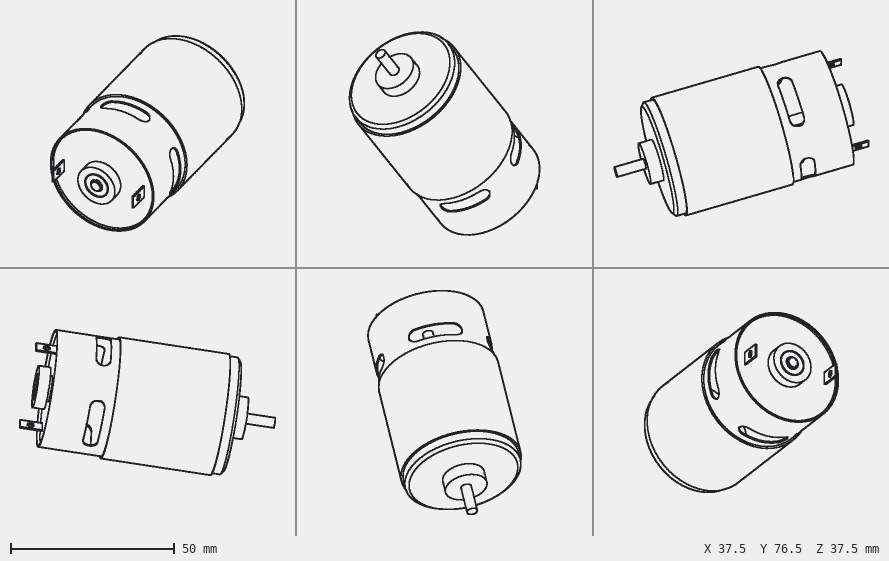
import cadquery as cq

can_radius = 18.1
can_length = 57.2
can_wall = 0.5
shoulder_inset = 1.15
shoulder_length = 0.9
bore_radius = can_radius - can_wall
drive_wall = 2.0

sleeve_radius = 18.75
sleeve_start = 19.5
sleeve_length = 34.0

plate_setback = 0.95
plate_thickness = 2.0
plate_inner_face = plate_setback + plate_thickness

boss_radius = 6.5
neck_radius = 4.0
brush_boss_end = -3.55
drive_boss_end = can_length + 4.1

bearing_radius = 4.03
bearing_groove_width = 0.15
bearing_groove_depth = 0.2
bearing_recess_radius = 2.0
bearing_recess_depth = 0.4

shaft_radius = 1.6
shaft_start = -4.05
shaft_end = 70.5

slot_count = 4
slot_length = 16.5
slot_width = 4.5
slot_y = 14.5

terminal_spacing = 28.0
terminal_thickness = 0.5
terminal_width = 4.0
terminal_tip = -6.0
terminal_tip_chamfer = 0.2
terminal_hole_radius = 1.0
terminal_hole_y = -2.6


def cylinder(radius, start, end):
    """Solid cylinder on the motor axis from Y = start to Y = end."""
    base = cq.Workplane("XZ", origin=(0, start, 0))
    return base.circle(radius).extrude(start - end)


def make_slot_cutter(angle):
    """Rounded slot cutter that leaves the axis at the given angle about Y."""
    cutter = (
        cq.Workplane("XY", origin=(0, slot_y, 0))
        .slot2D(slot_length, slot_width)
        .extrude(sleeve_radius)
    )
    return cutter.rotate((0, 0, 0), (0, 1, 0), angle)


def make_can_blank():
    """Solid outline of the can, with a conical shoulder at the drive end (+Y)."""
    shoulder_start = can_length - shoulder_length
    profile = (
        cq.Workplane("XY")
        .lineTo(can_radius, 0)
        .lineTo(can_radius, shoulder_start)
        .lineTo(can_radius - shoulder_inset, can_length)
        .lineTo(0, can_length)
        .close()
    )
    return profile.revolve(360, (0, 0, 0), (0, 1, 0))


def make_housing():
    can = make_can_blank()
    sleeve = cylinder(sleeve_radius, sleeve_start, sleeve_start + sleeve_length)
    body = can.union(sleeve)

    body = body.cut(cylinder(bore_radius, plate_inner_face, can_length - drive_wall))
    body = body.cut(cylinder(bore_radius, 0, plate_setback))

    for index in range(slot_count):
        body = body.cut(make_slot_cutter(index * 360 / slot_count))

    body = body.union(cylinder(boss_radius, brush_boss_end, 0))
    body = body.union(cylinder(neck_radius, 0, plate_inner_face))
    body = body.union(cylinder(boss_radius, can_length - drive_wall, drive_boss_end))

    groove_floor = brush_boss_end + bearing_groove_depth
    groove = cylinder(bearing_radius, brush_boss_end, groove_floor).cut(
        cylinder(bearing_radius - bearing_groove_width, brush_boss_end, groove_floor)
    )
    recess_floor = brush_boss_end + bearing_recess_depth
    body = body.cut(groove).cut(cylinder(bearing_recess_radius, brush_boss_end, recess_floor))

    return body.cut(make_shaft())


def make_shaft():
    return cylinder(shaft_radius, shaft_start, shaft_end)


def make_terminal(x):
    """Flat blade standing on the brush end plate, with a cross hole and a bevelled tip."""
    length = plate_setback - terminal_tip
    blade = (
        cq.Workplane("XY")
        .box(terminal_thickness, length, terminal_width, centered=(True, False, True))
        .translate((x, terminal_tip, 0))
    )
    blade = blade.faces("<Y").chamfer(terminal_tip_chamfer)
    hole = (
        cq.Workplane("YZ", origin=(x, terminal_hole_y, 0))
        .circle(terminal_hole_radius)
        .extrude(terminal_thickness, both=True)
    )
    return blade.cut(hole)


housing = make_housing()
shaft = make_shaft()
terminals = [make_terminal(side * terminal_spacing / 2) for side in (-1, 1)]

result = cq.Compound.makeCompound(
    [housing.val(), shaft.val(), *[terminal.val() for terminal in terminals]]
)